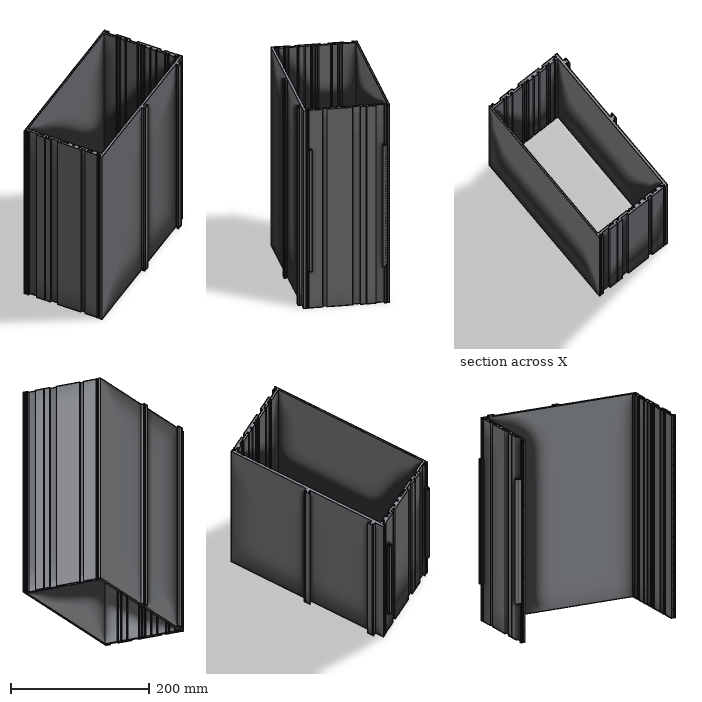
import cadquery as cq

height = 308.0
wall_length = 254.7
body_width = 127.0
left_wall = 2.5
right_wall = 4.0
right_wall_inside = body_width - right_wall

pad_face = 0.5
web_face = 3.7
slot_floor = 4.0
panel_inside = 7.0

corner_gap = 2.5
rib_thickness = 2.5
rib_start = left_wall + corner_gap
right_rib_thickness = 1.2
right_rib_end = right_wall_inside - corner_gap
pads = [(20.0, 33.3), (34.5, 42.8), (54.2, 92.0), (98.5, right_rib_end)]

slot_width = 2.5
first_slot = 23.5
slot_span = 94.2
slot_steps = [0, 1, 3, 7, 8, 9, 11, 13, 16, 17, 19]
slot_pitch = slot_span / slot_steps[-1]

barb_reach = 1.0
barb_thickness = 0.5
barb_depth = 1.2

clip_top = 262.0
clip_height = 189.0
clip_radius = 3.5
clip_slot_height = 2.5
clip_slot_length = 3.5
left_clip_lip = 1.0
right_clip_mouth_flat = 2.0
stem_overlap = 1.0

side_clip_reach = 5.5
side_clip_flange = 2.2
side_clip_length = 10.0
side_clip_base = 6.5
side_clip_groove_width = 1.2
side_clip_groove_depth = 2.5
side_clip_groove_from_end = 1.2
side_clip_pair_centre = 183.0
side_clip_pair_span = 116.0


def bar(x_start, x_end, y_start, y_end, z_start=0.0, length=height):
    """Rectangular bar running along Z."""
    return cq.Workplane("XY").box(
        x_end - x_start, y_end - y_start, length, centered=False
    ).translate((x_start, y_start, z_start))


def end_panel():
    """Profiled panel at the Y = 0 end, with pads, slots, ribs and barbs."""
    panel = bar(left_wall, right_wall_inside, web_face, panel_inside)
    for start, end in pads:
        panel = panel.union(bar(start, end, pad_face, panel_inside))
    for step in slot_steps:
        centre = first_slot + step * slot_pitch
        panel = panel.cut(
            bar(centre - slot_width / 2, centre + slot_width / 2, slot_floor, panel_inside)
        )
    panel = panel.union(bar(rib_start, rib_start + rib_thickness, 0, panel_inside))
    panel = panel.union(bar(right_rib_end - right_rib_thickness, right_rib_end, 0, web_face))
    for gap_start in (left_wall, right_rib_end):
        gap_end = gap_start + corner_gap
        barb_end = barb_depth + barb_thickness
        panel = panel.union(bar(gap_start, gap_start + barb_reach, barb_depth, barb_end))
        panel = panel.union(bar(gap_end - barb_reach, gap_end, barb_depth, barb_end))
    return panel


def back_clip(stem_start, stem_end, bead_centre, slot_start):
    """Slotted round bead on a stem that continues a rib of the back panel."""
    z_start = (height - clip_height) / 2
    centre_y = clip_top - clip_radius
    stem = bar(stem_start, stem_end, wall_length - stem_overlap, centre_y, z_start, clip_height)
    bead = (
        cq.Workplane("XY", origin=(bead_centre, centre_y, z_start))
        .circle(clip_radius)
        .extrude(clip_height)
    )
    slot = bar(
        slot_start, slot_start + clip_slot_length,
        centre_y - clip_slot_height / 2, centre_y + clip_slot_height / 2, z_start, clip_height,
    )
    return stem.union(bead).cut(slot)


def side_clip():
    """Hooked rail on the right wall, at the upper end of the pair."""
    top = side_clip_pair_centre + side_clip_pair_span / 2
    outside = body_width + side_clip_reach
    flange_start = outside - side_clip_flange
    base = bar(body_width, outside, top - side_clip_base, top)
    flange = bar(flange_start, outside, top - side_clip_length, top)
    groove_top = top - side_clip_groove_from_end
    groove = bar(
        outside - side_clip_groove_depth, outside,
        groove_top - side_clip_groove_width, groove_top,
    )
    return base.union(flange).cut(groove)


walls = bar(0, left_wall, 0, wall_length).union(bar(right_wall_inside, body_width, 0, wall_length))

front_panel = end_panel()
back_panel = front_panel.mirror("XZ", (0, wall_length / 2, 0))

left_clip = back_clip(
    rib_start, rib_start + rib_thickness, rib_start + clip_radius,
    rib_start + 2 * clip_radius - left_clip_lip - clip_slot_length,
)
right_bead_start = right_rib_end - 2 * clip_radius
right_mouth = right_bead_start + right_clip_mouth_flat
right_clip = back_clip(
    right_rib_end - right_rib_thickness, right_rib_end, right_rib_end - clip_radius, right_mouth
)
right_clip = right_clip.cut(
    bar(right_bead_start, right_mouth, clip_top - 2 * clip_radius, clip_top)
)

upper_side_clip = side_clip()
lower_side_clip = upper_side_clip.mirror("XZ", (0, side_clip_pair_centre, 0))

result = walls
for piece in (front_panel, back_panel, left_clip, right_clip, upper_side_clip, lower_side_clip):
    result = result.union(piece)